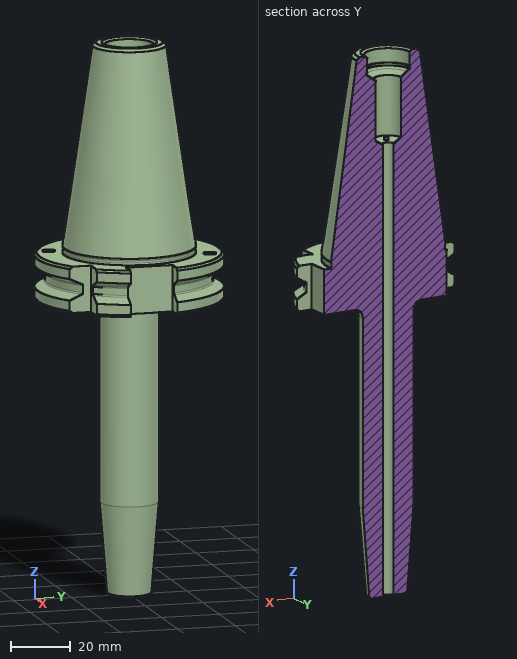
import cadquery as cq
import math


GAUGE_RADIUS = 44.45 / 2
TAPER_LENGTH = 68.4
TAPER_SLOPE = 7 / 48
TAPER_TOP_RADIUS = GAUGE_RADIUS - TAPER_LENGTH * TAPER_SLOPE
TOP_CHAMFER = 1.0

TAPER_END = -1.0
TAPER_END_RADIUS = GAUGE_RADIUS - TAPER_END * TAPER_SLOPE
RELIEF_DEPTH = 0.2
RELIEF_FLANK_HEIGHT = 0.7
RELIEF_RADIUS = TAPER_END_RADIUS - RELIEF_DEPTH

FLANGE_RADIUS = 63.55 / 2
FLANGE_TOP = -3.2
FLANGE_BOTTOM = -19.1
FLANGE_CHAMFER = 0.8

GROOVE_CENTRE = -11.1
GROOVE_FLOOR_RADIUS = 56.25 / 2
GROOVE_FLOOR_HALF_WIDTH = 1.55
GROOVE_FLANK_ANGLE = 30
GROOVE_FLOOR_FILLET = 0.6
GROOVE_MOUTH_HALF_WIDTH = GROOVE_FLOOR_HALF_WIDTH + (
    FLANGE_RADIUS - GROOVE_FLOOR_RADIUS
) * math.tan(math.radians(GROOVE_FLANK_ANGLE))

SLOT_WIDTH = 16.1
LEFT_SLOT_FLOOR = 22.8
RIGHT_SLOT_FLOOR = 25.0
NOTCH_X = 18.5
NOTCH_Y = 18.5

PROJECTION = 120.0
NOSE_RADIUS = 10.0
NOSE_FILLET = 3.0
NOSE_CONE_TOP = -88.2
TIP_RADIUS = 7.5
TIP_CHAMFER = 0.8

BORE_MOUTH_RADIUS = 9.3
BORE_MOUTH_DEPTH = 0.7
COUNTERBORE_RADIUS = 8.1
COUNTERBORE_DEPTH = 5.7
UNDERCUT_RADIUS = 8.4
UNDERCUT_END = 6.7
FLOOR_CONE_RADIUS = 7.0
FLOOR_CONE_START = 7.5
INNER_BORE_RADIUS = 4.85
INNER_BORE_START = 9.1
INNER_BORE_END = 30.0
TOOL_BORE_RADIUS = 2.0
BORE_CONE_ANGLE = 30
TOOL_BORE_START = INNER_BORE_END + (INNER_BORE_RADIUS - TOOL_BORE_RADIUS) * math.tan(
    math.radians(BORE_CONE_ANGLE)
)

COOLANT_ANGLES = (70, 250)
PORT_CIRCLE_RADIUS = 27.0
PORT_RADIUS = 1.8
PORT_COUNTERSINK = 0.3
PORT_POINT_HEIGHT = 0.9
PORT_POINT_Z = GROOVE_CENTRE - GROOVE_FLOOR_HALF_WIDTH
CHANNEL_CIRCLE_RADIUS = 3.6
CHANNEL_RADIUS = 0.75
CHANNEL_LENGTH = TAPER_LENGTH - INNER_BORE_END + PROJECTION


def holder_body():
    fillet_mid = NOSE_FILLET * (1 - math.sqrt(0.5))
    profile = (
        cq.Workplane("XZ")
        .moveTo(0, TAPER_LENGTH)
        .lineTo(TAPER_TOP_RADIUS - TOP_CHAMFER, TAPER_LENGTH)
        .lineTo(TAPER_TOP_RADIUS + TOP_CHAMFER * TAPER_SLOPE, TAPER_LENGTH - TOP_CHAMFER)
        .lineTo(TAPER_END_RADIUS, TAPER_END)
        .lineTo(RELIEF_RADIUS, TAPER_END - RELIEF_FLANK_HEIGHT)
        .lineTo(RELIEF_RADIUS, FLANGE_TOP + RELIEF_FLANK_HEIGHT)
        .lineTo(TAPER_END_RADIUS, FLANGE_TOP)
        .lineTo(FLANGE_RADIUS - FLANGE_CHAMFER, FLANGE_TOP)
        .lineTo(FLANGE_RADIUS, FLANGE_TOP - FLANGE_CHAMFER)
        .lineTo(FLANGE_RADIUS, FLANGE_BOTTOM + FLANGE_CHAMFER)
        .lineTo(FLANGE_RADIUS - FLANGE_CHAMFER, FLANGE_BOTTOM)
        .lineTo(NOSE_RADIUS + NOSE_FILLET, FLANGE_BOTTOM)
        .threePointArc(
            (NOSE_RADIUS + fillet_mid, FLANGE_BOTTOM - fillet_mid),
            (NOSE_RADIUS, FLANGE_BOTTOM - NOSE_FILLET),
        )
        .lineTo(NOSE_RADIUS, NOSE_CONE_TOP)
        .lineTo(TIP_RADIUS, TIP_CHAMFER - PROJECTION)
        .lineTo(TIP_RADIUS - TIP_CHAMFER, -PROJECTION)
        .lineTo(0, -PROJECTION)
        .close()
    )
    return profile.revolve(360, (0, 0), (0, 1))


def gripper_groove():
    profile = (
        cq.Workplane("XZ")
        .moveTo(FLANGE_RADIUS, GROOVE_CENTRE + GROOVE_MOUTH_HALF_WIDTH)
        .lineTo(GROOVE_FLOOR_RADIUS, GROOVE_CENTRE + GROOVE_FLOOR_HALF_WIDTH)
        .lineTo(GROOVE_FLOOR_RADIUS, GROOVE_CENTRE - GROOVE_FLOOR_HALF_WIDTH)
        .lineTo(FLANGE_RADIUS, GROOVE_CENTRE - GROOVE_MOUTH_HALF_WIDTH)
        .close()
    )
    ring = profile.revolve(360, (0, 0), (0, 1))
    floor_edges = cq.selectors.RadiusNthSelector(0)
    return ring.edges("%CIRCLE").edges(floor_edges).fillet(GROOVE_FLOOR_FILLET)


def axial_bore():
    def below_top(depth):
        return TAPER_LENGTH - depth

    profile = (
        cq.Workplane("XZ")
        .moveTo(0, TAPER_LENGTH)
        .lineTo(BORE_MOUTH_RADIUS, TAPER_LENGTH)
        .lineTo(COUNTERBORE_RADIUS, below_top(BORE_MOUTH_DEPTH))
        .lineTo(COUNTERBORE_RADIUS, below_top(COUNTERBORE_DEPTH))
        .lineTo(UNDERCUT_RADIUS, below_top(COUNTERBORE_DEPTH))
        .lineTo(UNDERCUT_RADIUS, below_top(UNDERCUT_END))
        .lineTo(COUNTERBORE_RADIUS, below_top(UNDERCUT_END))
        .lineTo(FLOOR_CONE_RADIUS, below_top(FLOOR_CONE_START))
        .lineTo(INNER_BORE_RADIUS, below_top(INNER_BORE_START))
        .lineTo(INNER_BORE_RADIUS, below_top(INNER_BORE_END))
        .lineTo(TOOL_BORE_RADIUS, below_top(TOOL_BORE_START))
        .lineTo(TOOL_BORE_RADIUS, -PROJECTION)
        .lineTo(0, -PROJECTION)
        .close()
    )
    return profile.revolve(360, (0, 0), (0, 1))


def flange_cutter(x_min, x_max, y_min, y_max):
    """Box through the full flange thickness."""
    return (
        cq.Workplane("XY", origin=(0, 0, FLANGE_BOTTOM))
        .moveTo(x_min, y_min)
        .lineTo(x_max, y_min)
        .lineTo(x_max, y_max)
        .lineTo(x_min, y_max)
        .close()
        .extrude(FLANGE_TOP - FLANGE_BOTTOM)
    )


def flange_cutouts():
    half = SLOT_WIDTH / 2
    left_slot = flange_cutter(-FLANGE_RADIUS, -LEFT_SLOT_FLOOR, -half, half)
    right_slot = flange_cutter(RIGHT_SLOT_FLOOR, FLANGE_RADIUS, -half, half)
    notch = flange_cutter(NOTCH_X, FLANGE_RADIUS, -FLANGE_RADIUS, -NOTCH_Y)
    return left_slot.union(right_slot).union(notch)


def at_coolant_angles(cutter, circle_radius):
    """Copies of an on-axis cutter, one at each coolant angle."""
    copies = cq.Workplane("XY")
    for angle in COOLANT_ANGLES:
        x = circle_radius * math.cos(math.radians(angle))
        y = circle_radius * math.sin(math.radians(angle))
        copies = copies.add(cutter.translate((x, y, 0)))
    return copies.combine()


def coolant_ports():
    """Countersunk blind holes with a drill point, opening into the gripper groove."""
    port = (
        cq.Workplane("XZ")
        .moveTo(0, FLANGE_TOP)
        .lineTo(PORT_RADIUS + PORT_COUNTERSINK, FLANGE_TOP)
        .lineTo(PORT_RADIUS, FLANGE_TOP - PORT_COUNTERSINK)
        .lineTo(PORT_RADIUS, PORT_POINT_Z + PORT_POINT_HEIGHT)
        .lineTo(0, PORT_POINT_Z)
        .close()
        .revolve(360, (0, 0), (0, 1))
    )
    return at_coolant_angles(port, PORT_CIRCLE_RADIUS)


def coolant_channels():
    """Straight channels from the floor of the inner bore to the tip."""
    channel = cq.Workplane("XY", origin=(0, 0, -PROJECTION)).circle(CHANNEL_RADIUS).extrude(CHANNEL_LENGTH)
    return at_coolant_angles(channel, CHANNEL_CIRCLE_RADIUS)


result = (
    holder_body()
    .cut(gripper_groove())
    .cut(axial_bore())
    .cut(flange_cutouts())
    .cut(coolant_ports())
    .cut(coolant_channels())
)